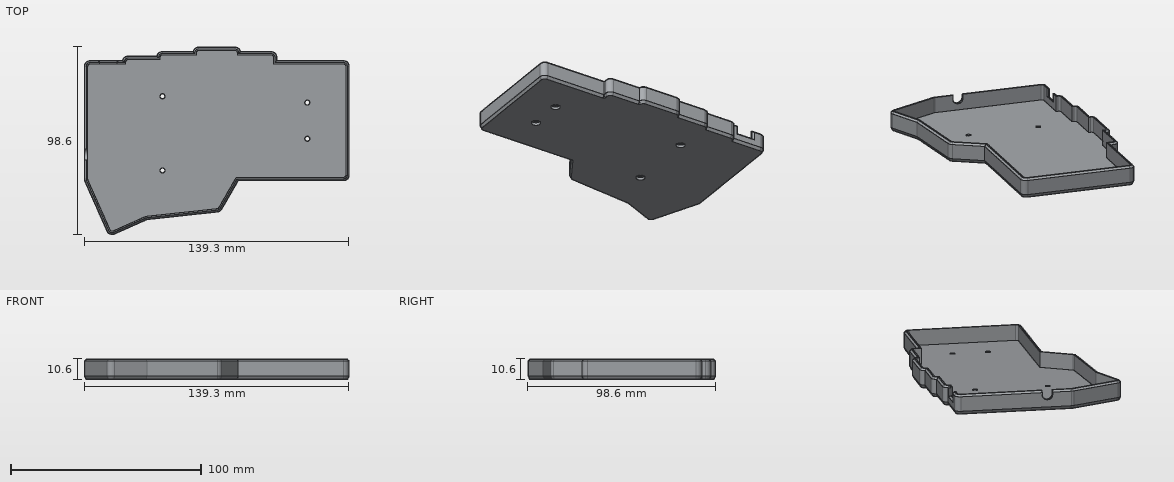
import cadquery as cq
import math


KEY = 19.05
STAGGER = KEY / 8
FIRST_STEP_X = 20.0
ROWS = 3
COLUMNS = 7

THUMB_TILT = math.radians(24)
THUMB_KEY_LENGTH = 1.5 * KEY
THUMB_TIP_DROP = 28.33
INNER_THUMB_SLOPE = math.radians(60)

HEIGHT = 10.6
FLOOR = 2.2
MARGIN = 3.0
WALL = 1.75
TOP_CHAMFER = 1.0
BOTTOM_CHAMFER_RUN = 0.85
BOTTOM_CHAMFER_RISE = 1.7

SCREW_HOLE_DIAMETER = 2.5
SCREW_HEAD_DIAMETER = 4.8
SCREW_HEAD_DEPTH = 1.6
SCREW_HOLES = [
    (2 * KEY, STAGGER),
    (2 * KEY, 41.4),
    (6 * KEY, KEY),
    (6 * KEY, 2 * KEY),
]

CONNECTOR_X = KEY / 2
CONNECTOR_WIDTH = 9.0
CONNECTOR_DEPTH = 4.6
CONNECTOR_CHAMFER = 1.0

CABLE_Y = 10.75
CABLE_SLOT_WIDTH = 5.6
CABLE_SLOT_DEPTH = 5.0

BACK = ROWS * KEY


def key_outline():
    """Corner points of the area covered by keys, clockwise from the back left corner."""
    points = [(0, BACK)]
    for step, x in enumerate((FIRST_STEP_X, 2 * KEY, 3 * KEY)):
        points.append((x, BACK + step * STAGGER))
        points.append((x, BACK + (step + 1) * STAGGER))
    points += [
        (4 * KEY, BACK + 3 * STAGGER),
        (4 * KEY, BACK + 2 * STAGGER),
        (5 * KEY, BACK + 2 * STAGGER),
        (5 * KEY, BACK),
        (COLUMNS * KEY, BACK),
        (COLUMNS * KEY, 0),
    ]

    inner_thumb_x = 4 * KEY
    points.append((inner_thumb_x, 0))
    points.append((
        inner_thumb_x - KEY * math.cos(INNER_THUMB_SLOPE),
        -KEY * math.sin(INNER_THUMB_SLOPE),
    ))

    tip_x = THUMB_KEY_LENGTH * math.sin(THUMB_TILT)
    tip_y = -THUMB_TIP_DROP
    points.append((tip_x + KEY * math.cos(THUMB_TILT), tip_y + KEY * math.sin(THUMB_TILT)))
    points.append((tip_x, tip_y))
    points.append((0, tip_y + THUMB_KEY_LENGTH * math.cos(THUMB_TILT)))
    return points


def grown_outline(offset, z):
    """Key outline at height z, grown by offset with rounded outer corners."""
    return cq.Workplane("XY", origin=(0, 0, z)).polyline(key_outline()).close().offset2D(offset, "arc")


def make_shell():
    """Outer body with chamfered edges, hollowed from above."""
    bottom_taper = math.degrees(math.atan2(BOTTOM_CHAMFER_RUN, BOTTOM_CHAMFER_RISE))
    bottom_edge = grown_outline(MARGIN, BOTTOM_CHAMFER_RISE).extrude(-BOTTOM_CHAMFER_RISE, taper=bottom_taper)
    body = grown_outline(MARGIN, BOTTOM_CHAMFER_RISE).extrude(HEIGHT - BOTTOM_CHAMFER_RISE)
    body = body.faces(">Z").chamfer(TOP_CHAMFER).union(bottom_edge)
    cavity = grown_outline(MARGIN - WALL, FLOOR).extrude(HEIGHT)
    return body.cut(cavity)


def make_screw_holes():
    """Through holes counterbored from the underside."""
    centres = cq.Workplane("XY").pushPoints(SCREW_HOLES)
    shanks = centres.circle(SCREW_HOLE_DIAMETER / 2).extrude(FLOOR)
    heads = centres.circle(SCREW_HEAD_DIAMETER / 2).extrude(SCREW_HEAD_DEPTH)
    return shanks.union(heads)


def make_connector_notch():
    """Cutter through the back wall, open at the top, with sides and sill flared at the outer face."""
    outer_face = cq.Workplane("XZ", origin=(CONNECTOR_X, BACK + MARGIN, HEIGHT))
    notch = outer_face.rect(CONNECTOR_WIDTH, 2 * CONNECTOR_DEPTH).extrude(MARGIN)
    flare = outer_face.rect(
        CONNECTOR_WIDTH + 2 * CONNECTOR_CHAMFER,
        2 * (CONNECTOR_DEPTH + CONNECTOR_CHAMFER),
    ).extrude(CONNECTOR_CHAMFER, taper=45)
    return notch.union(flare)


def make_cable_slot():
    """U-shaped cutter through the left wall, open at the top."""
    radius = CABLE_SLOT_WIDTH / 2
    centre_z = HEIGHT - CABLE_SLOT_DEPTH + radius
    return (
        cq.Workplane("YZ", origin=(-MARGIN, CABLE_Y, 0))
        .moveTo(-radius, HEIGHT)
        .lineTo(-radius, centre_z)
        .threePointArc((0, centre_z - radius), (radius, centre_z))
        .lineTo(radius, HEIGHT)
        .close()
        .extrude(MARGIN)
    )


result = make_shell()
result = result.cut(make_screw_holes())
result = result.cut(make_connector_notch())
result = result.cut(make_cable_slot())